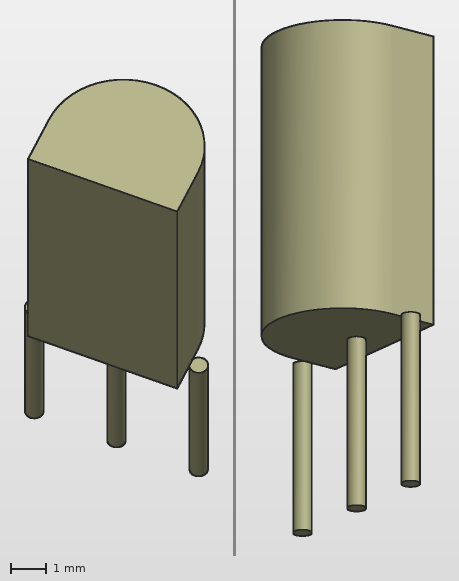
import cadquery as cq

total_height = 13.8
body_height = 8.71
body_width = 4.61
body_depth = 3.8

lead_diameter = 0.54
lead_pitch = 2.54
lead_count = 3
lead_to_flat = 1.0

lead_length = total_height - body_height
body_radius = body_width / 2
flat_y = body_radius - body_depth


def make_body():
    """D-shaped package: flat front, straight sides and a half-round back."""
    return (
        cq.Workplane("XY", origin=(0, 0, lead_length))
        .moveTo(-body_radius, flat_y)
        .lineTo(body_radius, flat_y)
        .lineTo(body_radius, 0)
        .threePointArc((0, body_radius), (-body_radius, 0))
        .close()
        .extrude(body_height)
    )


def make_lead(x):
    """Round lead that stands on Z = 0 and ends at the underside of the body."""
    return (
        cq.Workplane("XY", origin=(x, flat_y + lead_to_flat, 0))
        .circle(lead_diameter / 2)
        .extrude(lead_length)
    )


body = make_body()

leads = []
for index in range(lead_count):
    lead_x = (index - (lead_count - 1) / 2) * lead_pitch
    leads.append(make_lead(lead_x).val())

result = cq.Compound.makeCompound([body.val(), *leads])